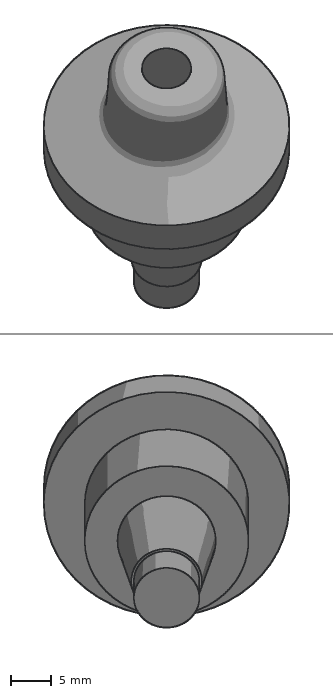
import cadquery as cq
import math

pin_top = 5.0
seam_height = 15.0
body_bottom = 17.0
flange_bottom = 28.0
flange_rim_top = 33.0
total_height = 45.0

pin_radius = 8.0 / 2
taper_large_radius = 12.0 / 2
body_radius = 20.0 / 2
flange_radius = 30.0 / 2
boss_base_radius = 15.0 / 2
bore_radius = 6.0 / 2

taper_angle = math.radians(8.0)
flange_slope = math.radians(15.0)
boss_draft = math.radians(3.0)

boss_blend_radius = 2.0
boss_top_round = 2.0
bore_bottom = flange_bottom

boss_bottom = flange_rim_top + (flange_radius - boss_base_radius) * math.tan(flange_slope)
boss_top_radius = boss_base_radius - (total_height - boss_bottom) * math.tan(boss_draft)


def taper_radius(height):
    """Radius of the tapered shank at a given height."""
    return taper_large_radius - (body_bottom - height) * math.tan(taper_angle)


def rounded_corner(before, corner, after, radius):
    """Start, middle and end of the tangent arc that rounds a corner of an outline."""
    corner = cq.Vector(*corner)
    toward_before = (cq.Vector(*before) - corner).normalized()
    toward_after = (cq.Vector(*after) - corner).normalized()
    half_angle = toward_before.getAngle(toward_after) / 2
    tangent_length = radius / math.tan(half_angle)
    middle_distance = radius / math.sin(half_angle) - radius
    bisector = (toward_before + toward_after).normalized()
    points = (
        corner + toward_before * tangent_length,
        corner + bisector * middle_distance,
        corner + toward_after * tangent_length,
    )
    return [(point.x, point.y) for point in points]


def make_turned_body():
    """Solid of revolution from the pin up to the rounded boss."""
    flange_edge = (flange_radius, flange_rim_top)
    boss_base = (boss_base_radius, boss_bottom)
    boss_edge = (boss_top_radius, total_height)
    top_center = (0, total_height)
    blend = rounded_corner(flange_edge, boss_base, boss_edge, boss_blend_radius)
    top_round = rounded_corner(boss_base, boss_edge, top_center, boss_top_round)

    profile = (
        cq.Workplane("XZ")
        .lineTo(pin_radius, 0)
        .lineTo(pin_radius, pin_top)
        .lineTo(taper_radius(pin_top), pin_top)
        .lineTo(taper_radius(seam_height), seam_height)
        .lineTo(taper_large_radius, body_bottom)
        .lineTo(body_radius, body_bottom)
        .lineTo(body_radius, flange_bottom)
        .lineTo(flange_radius, flange_bottom)
        .lineTo(*flange_edge)
        .lineTo(*blend[0])
        .threePointArc(*blend[1:])
        .lineTo(*top_round[0])
        .threePointArc(*top_round[1:])
        .lineTo(*top_center)
        .close()
    )
    return profile.revolve(360, (0, 0), (0, 1), clean=False)


def cut_bore(body):
    """Cut the flat-bottomed blind bore down from the top of the boss."""
    bore = (
        cq.Workplane("XY")
        .workplane(offset=bore_bottom)
        .circle(bore_radius)
        .extrude(total_height - bore_bottom)
    )
    return body.cut(bore, clean=False)


result = cut_bore(make_turned_body())